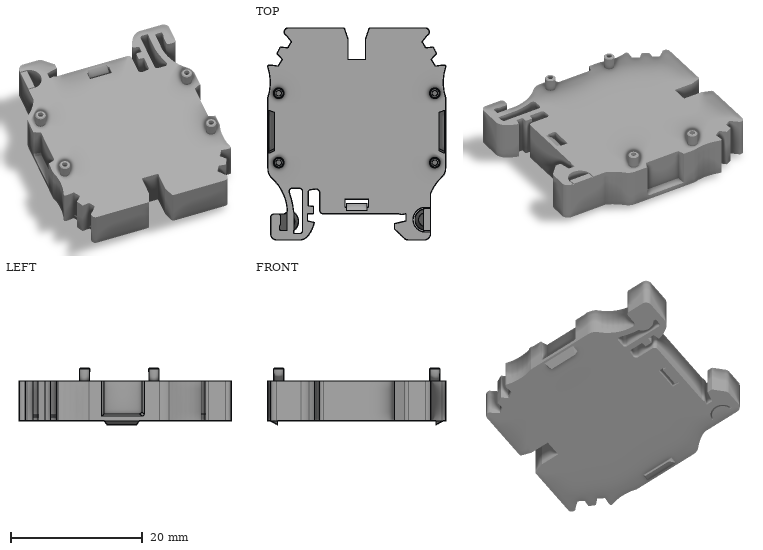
import cadquery as cq


WIDTH = 27.0
HEIGHT = 32.2
OVERALL_DEPTH = 8.61
PIN_LENGTH = 1.95
HOOK_DEPTH = 0.61
THICKNESS = OVERALL_DEPTH - PIN_LENGTH - HOOK_DEPTH
HALF_WIDTH = WIDTH / 2
FLOOR_Z = 1.02

NOTCH_HALF_WIDTH = 1.32
NOTCH_MOUTH_HALF_WIDTH = 1.88
NOTCH_FLOOR_Y = 27.42
NOTCH_FLARE_Y = 30.5
NOTCH_MOUTH_RADIUS = 0.3

SHOULDER_ROUND = [(10.4, HEIGHT), (10.83, 32.0), (11.0, 31.4)]
SHOULDER_NECK = [(10.95, 31.25), (10.65, 31.0)]
TOOTH_ROOTS = [(9.93, 30.1), (11.3, 27.42)]
TOOTH_HEELS = [(10.47, 29.18), (11.93, 26.41)]
TOOTH_TIP_TOP = (11.6, 29.3)
TOOTH_TIP = (12.12, 28.27)
SHOULDER_LIP = (12.95, 26.54)
LIP_CHAMFER = 0.12

HOLLOW_TOP_Y = 26.22
HOLLOW_BOTTOM_Y = 21.6
HOLLOW_DEPTH = 0.36
FLANK_BOTTOM_Y = 10.93

RAIL_EDGE_Y = 3.97
RAIL_HOOK_Y = 2.92
RIGHT_FOOT_X = 11.22
RIGHT_HOOK_TIP_X = 5.72
RIGHT_HOOK_ROOT_X = 7.46
LEFT_HOOK_TIP_X = -6.42
LEFT_HOOK_ROOT_X = -7.45
LEFT_FOOT_X = -13.06
LEG_OUTER_X = -10.55
LEG_INNER_X = -9.54
FOOT_RADIUS = 0.9
RIGHT_FOOT_TOP_Y = 7.05
RIGHT_FLANK_CORNER = [(13.36, 10.2), (12.92, 9.56)]
RIGHT_FLANK_CURVE = [(12.08, 8.62), (11.35, 7.4)]
RIGHT_FOOT_ROUND = [(10.98, 0.34), (10.4, 0)]
RIGHT_HOOK_HEEL = [(7.83, 0), (7.52, 0.06), (7.27, 0.2)]
RIGHT_HOOK_TIP_YS = (1.67, 2.5)
RAIL_BEAD_XS = (6.8, 6.3)
RAIL_BEAD_HEIGHT = 0.12
LEFT_HOOK_TIP_Y = 2.68
LEFT_HOOK_NOSE = [(-6.76, 1.65), (-7.26, 0.8)]
LEFT_HOOK_HEEL = [(-7.78, 0.28), (-8.49, 0)]
LEG_CURVE = [(-11.45, 7.6), (-13.0, 9.5)]
LEFT_FLANK_CORNER = [(-13.37, 10.13), (-HALF_WIDTH, FLANK_BOTTOM_Y)]
FOOT_TOP_RADIUS = 0.5
LEG_FILLET = 0.58

RELIEF_LEFT_X = -7.35
RELIEF_RIGHT_X = -5.63
RELIEF_TOP_Y = 7.73
RELIEF_RADIUS = 0.38
RAIL_CORNER_RADIUS = 0.55
RELIEF_STEP = 0.1
LATCH_TIP_X = -6.54
LATCH_TOP_Y = 5.22
LATCH_CHAMFER = 0.1

WINDOW_RIGHT_X = -8.25
WINDOW_TOP_Y = 7.84
WINDOW_BOTTOM_Y = 1.0
WINDOW_RADIUS = 0.4
WINDOW_CORNER = [(-9.9, WINDOW_TOP_Y), (-10.2, 7.55), (-10.18, 7.1)]
WINDOW_CURVE = [(-9.8, 5.8), (LEG_INNER_X, 4.2)]

LEG_SLOT_MOUTH = [(-11.85, RAIL_EDGE_Y), (-11.6, 3.75), (-11.54, 3.45)]
LEG_SLOT_BARB = (-11.57, 2.4)
LEG_SLOT_UNDERCUT_X = -11.68
LEG_SLOT_UNDERCUT_Y = 2.15
LEG_SLOT_BOTTOM_Y = 1.42
LEG_SLOT_RADIUS = 0.2

PIN_X = 11.84
PIN_YS = (11.75, 22.27)
PIN_ROOT_RADIUS = 0.77
PIN_TIP_RADIUS = 0.8
PIN_CHAMFER = 0.15
PIN_BORE_RADIUS = 0.42
PIN_BORE_DEPTH = 1.0

POCKET_TOP_Y = 19.67
POCKET_BOTTOM_Y = 13.17
POCKET_LIP_Z = 0.7
POCKET_LIP_DEPTH = 0.2
POCKET_DEPTH = 1.05
POCKET_DRAFT_TOP = 0.32
POCKET_DRAFT_BOTTOM = 0.42
POCKET_CORNER = 0.3
HOOK_OUTER_X = 13.16
HOOK_INNER_X = 12.0
HOOK_BASE_YS = (13.95, 19.3)
HOOK_END_SLOPE = 0.45

GROOVE_BOTTOM_Z = 0.58
GROOVE_HEIGHT = 0.32

MARKER_HALF_WIDTH = 1.78
MARKER_TOP_Y = 6.26
MARKER_STEP_Y = 4.99
RAMP_HALF_WIDTH = 1.57
RAMP_FOOT_Y = 5.56
RAMP_TOP_Y = 4.52
RAMP_DROP = 0.62
MARKER_DRAFT = 0.12

LEFT_STUD = (-10.51, 2.83)
LEFT_STUD_RADIUS = 1.69
RIGHT_STUD = (10.42, 3.1)
RIGHT_STUD_RADIUS = 1.62
STUD_HEIGHT = FLOOR_Z
STUD_TAPER = 0.58
SOCKET_RADIUS = 1.86
BRIDGE_INNER_X = 10.16
BRIDGE_HALF_LENGTH = 1.66
BRIDGE_GROOVE_DEPTH = 0.2


def both_sides(feature):
    """The feature together with its mirror image across the middle plane X = 0."""
    return feature.union(feature.mirror("YZ"))


def block(x_range, y_range, z_range):
    """Axis-aligned box between the given limits."""
    size = [high - low for low, high in (x_range, y_range, z_range)]
    corner = (x_range[0], y_range[0], z_range[0])
    return cq.Workplane("XY").box(*size, centered=False).translate(corner)


def upper_body():
    """Housing above the flank bottoms, symmetric about X = 0."""
    half = (
        cq.Workplane("XY")
        .moveTo(0, FLANK_BOTTOM_Y)
        .lineTo(0, NOTCH_FLOOR_Y)
        .lineTo(NOTCH_HALF_WIDTH, NOTCH_FLOOR_Y)
        .lineTo(NOTCH_HALF_WIDTH, NOTCH_FLARE_Y)
        .lineTo(NOTCH_MOUTH_HALF_WIDTH, HEIGHT)
        .lineTo(*SHOULDER_ROUND[0])
        .threePointArc(*SHOULDER_ROUND[1:])
        .lineTo(*SHOULDER_NECK[0])
        .lineTo(*SHOULDER_NECK[1])
        .lineTo(*TOOTH_ROOTS[0])
        .lineTo(*TOOTH_HEELS[0])
        .lineTo(*TOOTH_TIP_TOP)
        .lineTo(*TOOTH_TIP)
        .lineTo(*TOOTH_ROOTS[1])
        .lineTo(*TOOTH_HEELS[1])
        .lineTo(*SHOULDER_LIP)
        .lineTo(HALF_WIDTH - LIP_CHAMFER, SHOULDER_LIP[1])
        .lineTo(HALF_WIDTH, SHOULDER_LIP[1] - LIP_CHAMFER)
        .lineTo(HALF_WIDTH, HOLLOW_TOP_Y)
        .threePointArc(
            (HALF_WIDTH - HOLLOW_DEPTH, (HOLLOW_TOP_Y + HOLLOW_BOTTOM_Y) / 2),
            (HALF_WIDTH, HOLLOW_BOTTOM_Y),
        )
        .lineTo(HALF_WIDTH, FLANK_BOTTOM_Y)
        .close()
        .extrude(THICKNESS)
    )
    mouth_edge = cq.selectors.NearestToPointSelector((NOTCH_MOUTH_HALF_WIDTH, HEIGHT, THICKNESS / 2))
    return both_sides(half.edges(mouth_edge).fillet(NOTCH_MOUTH_RADIUS))


def lower_body():
    """Housing below the flank bottoms, with the two rail feet and the relief slot."""
    return (
        cq.Workplane("XY")
        .moveTo(HALF_WIDTH, FLANK_BOTTOM_Y)
        .threePointArc(*RIGHT_FLANK_CORNER)
        .threePointArc(*RIGHT_FLANK_CURVE)
        .lineTo(RIGHT_FOOT_X, RIGHT_FOOT_TOP_Y)
        .lineTo(RIGHT_FOOT_X, FOOT_RADIUS)
        .threePointArc(*RIGHT_FOOT_ROUND)
        .lineTo(*RIGHT_HOOK_HEEL[0])
        .threePointArc(*RIGHT_HOOK_HEEL[1:])
        .lineTo(RIGHT_HOOK_TIP_X, RIGHT_HOOK_TIP_YS[0])
        .lineTo(RIGHT_HOOK_TIP_X, RIGHT_HOOK_TIP_YS[1])
        .lineTo(RIGHT_HOOK_ROOT_X, RAIL_HOOK_Y)
        .lineTo(RIGHT_HOOK_ROOT_X, RAIL_EDGE_Y)
        .lineTo(RAIL_BEAD_XS[0], RAIL_EDGE_Y - RAIL_BEAD_HEIGHT)
        .lineTo(RAIL_BEAD_XS[1], RAIL_EDGE_Y)
        .lineTo(RELIEF_RIGHT_X + RAIL_CORNER_RADIUS, RAIL_EDGE_Y)
        .radiusArc((RELIEF_RIGHT_X, RAIL_EDGE_Y + RAIL_CORNER_RADIUS), RAIL_CORNER_RADIUS)
        .lineTo(RELIEF_RIGHT_X, RELIEF_TOP_Y - RAIL_CORNER_RADIUS)
        .radiusArc((RELIEF_RIGHT_X - RAIL_CORNER_RADIUS, RELIEF_TOP_Y), -RAIL_CORNER_RADIUS)
        .lineTo(RELIEF_LEFT_X + RELIEF_RADIUS, RELIEF_TOP_Y - RELIEF_STEP)
        .radiusArc((RELIEF_LEFT_X, RELIEF_TOP_Y - RELIEF_STEP - RELIEF_RADIUS), -RELIEF_RADIUS)
        .lineTo(RELIEF_LEFT_X, LATCH_TOP_Y)
        .lineTo(LATCH_TIP_X, LATCH_TOP_Y - LATCH_CHAMFER)
        .lineTo(LATCH_TIP_X, RAIL_EDGE_Y + LATCH_CHAMFER)
        .lineTo(LATCH_TIP_X - LATCH_CHAMFER, RAIL_EDGE_Y)
        .lineTo(LEFT_HOOK_ROOT_X, RAIL_EDGE_Y)
        .lineTo(LEFT_HOOK_ROOT_X, RAIL_HOOK_Y)
        .lineTo(LEFT_HOOK_TIP_X, LEFT_HOOK_TIP_Y)
        .threePointArc(*LEFT_HOOK_NOSE)
        .threePointArc(*LEFT_HOOK_HEEL)
        .lineTo(LEFT_FOOT_X + FOOT_RADIUS, 0)
        .radiusArc((LEFT_FOOT_X, FOOT_RADIUS), FOOT_RADIUS)
        .lineTo(LEFT_FOOT_X, RAIL_EDGE_Y - FOOT_TOP_RADIUS)
        .radiusArc((LEFT_FOOT_X + FOOT_TOP_RADIUS, RAIL_EDGE_Y), FOOT_TOP_RADIUS)
        .lineTo(LEG_OUTER_X - LEG_FILLET, RAIL_EDGE_Y)
        .radiusArc((LEG_OUTER_X, RAIL_EDGE_Y + LEG_FILLET), -LEG_FILLET)
        .threePointArc(*LEG_CURVE)
        .threePointArc(*LEFT_FLANK_CORNER)
        .close()
        .extrude(THICKNESS)
    )


def leg_window():
    """Through window that frees the spring leg."""
    return (
        cq.Workplane("XY")
        .moveTo(LEG_INNER_X, WINDOW_BOTTOM_Y)
        .lineTo(WINDOW_RIGHT_X - WINDOW_RADIUS, WINDOW_BOTTOM_Y)
        .radiusArc((WINDOW_RIGHT_X, WINDOW_BOTTOM_Y + WINDOW_RADIUS), -WINDOW_RADIUS)
        .lineTo(WINDOW_RIGHT_X, WINDOW_TOP_Y - WINDOW_RADIUS)
        .radiusArc((WINDOW_RIGHT_X - WINDOW_RADIUS, WINDOW_TOP_Y), -WINDOW_RADIUS)
        .lineTo(*WINDOW_CORNER[0])
        .threePointArc(*WINDOW_CORNER[1:])
        .threePointArc(*WINDOW_CURVE)
        .close()
        .extrude(THICKNESS)
    )


def leg_slot():
    """Blind slot between the spring leg and the left foot."""
    return (
        cq.Workplane("XY", origin=(0, 0, FLOOR_Z))
        .moveTo(LEG_OUTER_X, RAIL_EDGE_Y + LEG_FILLET)
        .lineTo(LEG_OUTER_X - LEG_FILLET, RAIL_EDGE_Y)
        .lineTo(*LEG_SLOT_MOUTH[0])
        .threePointArc(*LEG_SLOT_MOUTH[1:])
        .lineTo(*LEG_SLOT_BARB)
        .lineTo(LEG_SLOT_UNDERCUT_X, LEG_SLOT_UNDERCUT_Y)
        .lineTo(LEG_SLOT_UNDERCUT_X, LEG_SLOT_BOTTOM_Y + LEG_SLOT_RADIUS)
        .radiusArc((LEG_SLOT_UNDERCUT_X + LEG_SLOT_RADIUS, LEG_SLOT_BOTTOM_Y), -LEG_SLOT_RADIUS)
        .lineTo(LEG_OUTER_X - LEG_SLOT_RADIUS, LEG_SLOT_BOTTOM_Y)
        .radiusArc((LEG_OUTER_X, LEG_SLOT_BOTTOM_Y + LEG_SLOT_RADIUS), -LEG_SLOT_RADIUS)
        .close()
        .extrude(THICKNESS - FLOOR_Z)
    )


def pocket_section(bottom_y, top_y, floor_z):
    """Corners of the side pocket in the YZ plane, one lower corner cut off."""
    return [
        (bottom_y, THICKNESS),
        (bottom_y, floor_z + POCKET_CORNER),
        (bottom_y + POCKET_CORNER, floor_z),
        (top_y, floor_z),
        (top_y, THICKNESS),
    ]


def side_pocket():
    """Drafted pocket in the +X flank, open to the front face."""
    outer = pocket_section(POCKET_BOTTOM_Y, POCKET_TOP_Y, POCKET_LIP_Z)
    inner = pocket_section(
        POCKET_BOTTOM_Y + POCKET_DRAFT_BOTTOM, POCKET_TOP_Y - POCKET_DRAFT_TOP, FLOOR_Z
    )
    lip_x = HALF_WIDTH - POCKET_LIP_DEPTH
    lip = cq.Workplane("YZ", origin=(lip_x, 0, 0)).polyline(outer).close().extrude(POCKET_LIP_DEPTH)
    drafted = (
        cq.Workplane("YZ", origin=(lip_x, 0, 0))
        .polyline(outer)
        .close()
        .workplane(offset=POCKET_LIP_DEPTH - POCKET_DEPTH)
        .polyline(inner)
        .close()
        .loft(ruled=True)
    )
    return lip.union(drafted)


def side_hook():
    """Wedge under the back face that snaps into the pocket of the next block."""
    low_y, high_y = HOOK_BASE_YS
    wedge = (
        cq.Workplane("XZ")
        .polyline([(HOOK_OUTER_X, 0), (HOOK_INNER_X, -HOOK_DEPTH), (HOOK_INNER_X, 0)])
        .close()
        .extrude(-HEIGHT)
    )
    ends = (
        cq.Workplane("YZ")
        .polyline(
            [
                (low_y, 0),
                (low_y + HOOK_END_SLOPE, -HOOK_DEPTH),
                (high_y - HOOK_END_SLOPE, -HOOK_DEPTH),
                (high_y, 0),
            ]
        )
        .close()
        .extrude(WIDTH)
    )
    return wedge.intersect(ends)


def tooth_grooves():
    """Cross grooves whose walls drop straight down from the tooth roots on the +X side."""
    grooves = cq.Workplane("XY")
    for root, heel in zip(TOOTH_ROOTS, TOOTH_HEELS):
        groove = (
            cq.Workplane("XY", origin=(0, 0, GROOVE_BOTTOM_Z))
            .polyline([root, heel, (root[0], heel[1])])
            .close()
            .extrude(GROOVE_HEIGHT)
        )
        grooves = grooves.add(groove)
    return grooves.combine()


def marker_slot():
    """Through slot above the rail edge, with a ramp left standing on its lower wall."""
    upper = (
        cq.Workplane("YZ", origin=(-MARKER_HALF_WIDTH, 0, 0))
        .polyline(
            [
                (MARKER_STEP_Y, 0),
                (MARKER_TOP_Y - MARKER_DRAFT, 0),
                (MARKER_TOP_Y, THICKNESS),
                (MARKER_STEP_Y, THICKNESS),
            ]
        )
        .close()
        .extrude(2 * MARKER_HALF_WIDTH)
    )
    lower = block(
        (-RAMP_HALF_WIDTH, RAMP_HALF_WIDTH), (RAMP_TOP_Y, MARKER_STEP_Y), (0, THICKNESS)
    )
    ramp = (
        cq.Workplane("YZ", origin=(-RAMP_HALF_WIDTH, 0, 0))
        .polyline(
            [
                (RAMP_TOP_Y, 0),
                (RAMP_FOOT_Y, 0),
                (RAMP_FOOT_Y, THICKNESS - RAMP_DROP),
                (RAMP_TOP_Y, THICKNESS),
            ]
        )
        .close()
        .extrude(2 * RAMP_HALF_WIDTH)
    )
    return upper.union(lower).cut(ramp)


def pin(x, y):
    """Slightly flared, bored coupling pin on the front face."""
    flared = (
        cq.Workplane("XY", origin=(x, y, THICKNESS))
        .circle(PIN_ROOT_RADIUS)
        .workplane(offset=PIN_LENGTH)
        .circle(PIN_TIP_RADIUS)
        .loft()
    )
    chamfered = flared.faces(">Z").chamfer(PIN_CHAMFER)
    return chamfered.faces(">Z").workplane().hole(2 * PIN_BORE_RADIUS, PIN_BORE_DEPTH)


def stud(center, base_radius):
    """Conical snap stud rising from the back face, cut flat on its outer side."""
    cone = (
        cq.Workplane("XY", origin=(*center, 0))
        .circle(base_radius)
        .workplane(offset=STUD_HEIGHT)
        .circle(base_radius - STUD_TAPER)
        .loft()
    )
    return cone.intersect(block((-BRIDGE_INNER_X, BRIDGE_INNER_X), (0, HEIGHT), (0, STUD_HEIGHT)))


def socket():
    """Segment-shaped through opening round the right stud, with a grooved bridge left on its outer side."""
    center_y = RIGHT_STUD[1]
    low_y = center_y - SOCKET_RADIUS
    high_y = center_y + SOCKET_RADIUS
    opening = cq.Workplane("XY", origin=(*RIGHT_STUD, 0)).circle(SOCKET_RADIUS).extrude(THICKNESS)
    opening = opening.intersect(block((0, BRIDGE_INNER_X), (low_y, high_y), (0, THICKNESS)))
    bridge_x = (BRIDGE_INNER_X, RIGHT_FOOT_X)
    groove_z = (THICKNESS - BRIDGE_GROOVE_DEPTH, THICKNESS)
    lower_groove = block(bridge_x, (low_y, center_y - BRIDGE_HALF_LENGTH), groove_z)
    upper_groove = block(bridge_x, (center_y + BRIDGE_HALF_LENGTH, high_y), groove_z)
    return opening.union(lower_groove).union(upper_groove)


body = upper_body().union(lower_body())
body = body.cut(leg_window()).cut(leg_slot()).cut(marker_slot()).cut(socket())
body = body.cut(both_sides(side_pocket())).cut(both_sides(tooth_grooves()))
body = body.union(both_sides(side_hook()))
body = body.union(stud(LEFT_STUD, LEFT_STUD_RADIUS))
body = body.union(stud(RIGHT_STUD, RIGHT_STUD_RADIUS))
for pin_x in (-PIN_X, PIN_X):
    for pin_y in PIN_YS:
        body = body.union(pin(pin_x, pin_y))

result = body